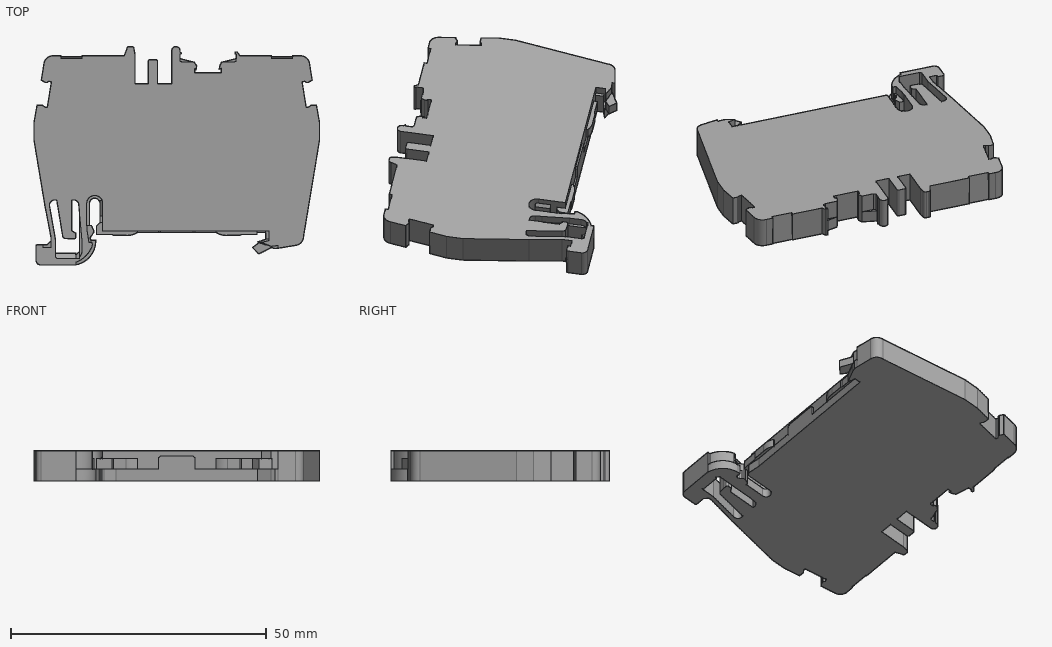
import cadquery as cq

WIDTH = 55.9
HEIGHT = 42.8
THICKNESS = 6.0
STEP_Z = 2.35
PAD_TOP_Z = 4.4
TONGUE_TOP_Z = 4.9
HALF = WIDTH / 2
TOP_Y = 41.0
RAIL_Y = 6.4
RAIL_UPPER_Y = 6.7
EPS = 0.3

WALL_TOP_Y = 27.85
WALL_BOTTOM_Y = 24.55
SIDE_NOTCH_Y = 31.3
SHOULDER_Y = 39.35
SHOULDER_X = 26.0
SHOULDER_TOP_X = 24.0
NOTCH_EDGE_X = 27.35

PRONG_SLOT_LEFT = -8.15
PRONG_SLOT_RIGHT = -1.0
PRONG_SLOT_Y = 35.5
TAB_LEFT = -5.6
TAB_RIGHT = -3.75
TAB_Y = 40.2
TAB_ROUND = 0.35

LABEL_OUTER = 22.65
LABEL_INNER = 18.5
LABEL_DEPTH = 0.55
LABEL_TAPER = 0.15

MARKER_LEFT = 0.65
MARKER_RIGHT = 11.65
MARKER_CORNER = 0.45
MARKER_SHELF_Y = 39.7
MARKER_FLOOR_Y = 37.7

FOOT_LEFT = -27.55
FOOT_RIGHT = -19.75
FOOT_TOP = 4.0
FOOT_FLOOR = 1.3
FOOT_RAMP = 1.05
FOOT_ROUND = 1.05
FOOT_TOP_ROUND = 0.35
ARM_LEFT = -24.6
ARM_BASE_Y = 5.4
WEB_HEIGHT = 1.0
LIP_LEFT = -26.1
LIP_Y = 3.45
SLOT_LEFT = -23.7
SLOT_RIGHT = -19.05
SLOT_CORNER = 0.35
SLOT_TOP = 12.75

GAP_CENTRE = -16.05
GAP_CENTRE_Y = 12.1
GAP_LOWER_RADIUS = 1.0
GAP_UPPER_RADIUS = 1.55
GAP_RIB_Y = 9.6
GAP_RIB_END_Y = 12.65
GAP_RIB_Z = 4.3

ARM_TOP = 7.8
ARM_RIGHT = -17.55
HOOK_LEFT = -20.15

RAIL_END = 17.4
RAIL_UPPER_END = 18.0
RAIL_CORNER_Y = 5.1
PAD_OUTER = 15.7
PAD_INNER = 7.7
PAD_Y = 6.0
PAD_NOSE_Y = 5.8
TONGUE_HALF = 3.5
TONGUE_CHAMFER = 0.35


def prism(points, bottom=0.0, top=THICKNESS):
    """Straight-sided polygon extruded between two heights."""
    return cq.Workplane("XY").workplane(offset=bottom).polyline(points).close().extrude(top - bottom)


def block(x0, x1, y0, y1, bottom=0.0, top=THICKNESS):
    """Rectangular block given by its limits."""
    return prism([(x0, y0), (x1, y0), (x1, y1), (x0, y1)], bottom, top)


def on_both_sides(body):
    """A body together with its mirror image about X = 0."""
    return body.union(body.mirror("YZ"))


def housing():
    """Main plate with bent side walls, rounded shoulders and a rounded lower right corner."""
    return (
        cq.Workplane("XY")
        .moveTo(-SHOULDER_TOP_X, TOP_Y)
        .lineTo(SHOULDER_TOP_X, TOP_Y)
        .threePointArc((25.4, 40.55), (SHOULDER_X, SHOULDER_Y))
        .lineTo(26.5, 36.25)
        .lineTo(25.4, SIDE_NOTCH_Y)
        .lineTo(NOTCH_EDGE_X, SIDE_NOTCH_Y)
        .lineTo(HALF, WALL_TOP_Y)
        .lineTo(HALF, WALL_BOTTOM_Y)
        .lineTo(24.85, 5.65)
        .threePointArc((24.4, 4.5), (23.2, 3.85))
        .lineTo(19.85, 3.3)
        .lineTo(19.2, 3.25)
        .lineTo(18.45, 3.45)
        .lineTo(15.8, 4.6)
        .lineTo(RAIL_END, RAIL_CORNER_Y)
        .lineTo(RAIL_END, RAIL_Y)
        .lineTo(-11.9, RAIL_Y)
        .lineTo(-14.25, 6.1)
        .lineTo(-17.0, 6.1)
        .lineTo(-19.4, 5.05)
        .lineTo(ARM_LEFT, ARM_BASE_Y)
        .lineTo(-25.85, 11.8)
        .lineTo(-HALF, WALL_BOTTOM_Y)
        .lineTo(-HALF, WALL_TOP_Y)
        .lineTo(-NOTCH_EDGE_X, SIDE_NOTCH_Y)
        .lineTo(-25.4, SIDE_NOTCH_Y)
        .lineTo(-26.5, 36.25)
        .lineTo(-SHOULDER_X, SHOULDER_Y)
        .threePointArc((-25.4, 40.55), (-SHOULDER_TOP_X, TOP_Y))
        .close()
        .extrude(THICKNESS)
    )


def side_notches():
    """Slanted notches below the shoulders, with a small relief at each inner corner."""
    notch = [
        (-HALF - EPS, 36.2), (-26.45, 36.2), (-25.7, 35.75), (-25.4, 35.75), (-25.0, 35.95), (-24.55, 35.85),
        (-25.35, 30.9), (-25.7, 30.9), (-26.45, 31.4), (-NOTCH_EDGE_X, SIDE_NOTCH_Y), (-HALF - EPS, SIDE_NOTCH_Y),
    ]
    return on_both_sides(prism(notch))


def label_recesses():
    """Shallow recesses whose floor slants, deepest at the upper face."""
    recess = (
        cq.Workplane("YZ")
        .workplane(offset=-LABEL_OUTER)
        .polyline([
            (TOP_Y + EPS, 0), (TOP_Y - LABEL_TAPER, 0),
            (TOP_Y - LABEL_DEPTH, THICKNESS), (TOP_Y + EPS, THICKNESS),
        ])
        .close()
        .extrude(LABEL_OUTER - LABEL_INNER)
    )
    return on_both_sides(recess)


def prongs():
    """Two round-nosed prongs either side of the tab, and the latch nose of the marker pocket."""
    left = (
        cq.Workplane("XY")
        .moveTo(-10.3, TOP_Y - EPS)
        .lineTo(-10.3, TOP_Y)
        .lineTo(-9.8, 42.3)
        .threePointArc((-9.6, 42.65), (-9.3, HEIGHT))
        .lineTo(-8.85, HEIGHT)
        .threePointArc((-8.5, 42.65), (-8.35, 42.3))
        .lineTo(PRONG_SLOT_LEFT, 41.3)
        .lineTo(PRONG_SLOT_LEFT, TOP_Y - EPS)
        .close()
        .extrude(THICKNESS)
    )
    right = (
        cq.Workplane("XY")
        .moveTo(PRONG_SLOT_RIGHT, TOP_Y - EPS)
        .lineTo(PRONG_SLOT_RIGHT, 42.0)
        .threePointArc((-0.15, HEIGHT), (MARKER_LEFT, 42.0))
        .lineTo(MARKER_LEFT, 41.7)
        .lineTo(0.95, 41.45)
        .lineTo(MARKER_LEFT, 41.1)
        .lineTo(MARKER_LEFT, TOP_Y - EPS)
        .close()
        .extrude(THICKNESS)
    )
    latch = prism([
        (MARKER_RIGHT, TOP_Y - EPS), (MARKER_RIGHT, 41.15), (11.4, 41.15), (11.4, 41.7), (11.85, 41.7),
        (12.35, TOP_Y), (12.35, TOP_Y - EPS),
    ])
    return left.union(right).union(latch)


def prong_slots():
    """Opening between the prongs with the round-cornered tab left standing in it."""
    opening = block(PRONG_SLOT_LEFT, PRONG_SLOT_RIGHT, PRONG_SLOT_Y, HEIGHT)
    tab = block(TAB_LEFT, TAB_RIGHT, PRONG_SLOT_Y, TAB_Y).edges("|Z and >Y").fillet(TAB_ROUND)
    return opening.cut(tab)


def marker_pocket():
    """Stepped pocket in the top edge; its shelves slope in the lower layer and are level above."""
    left, right = MARKER_LEFT, MARKER_RIGHT
    well = [
        (3.45, MARKER_SHELF_Y), (3.9, 39.0), (3.8, 38.2), (3.5, 38.55), (3.5, MARKER_FLOOR_Y),
        (8.65, MARKER_FLOOR_Y), (8.65, 38.55), (8.3, 38.3), (8.4, 39.0), (8.7, MARKER_SHELF_Y),
    ]
    lower = [(left, TOP_Y + EPS), (left, 40.45)] + well + [(right, 40.45), (right, TOP_Y + EPS)]
    upper = [
        (left, TOP_Y), (left, 39.9), (left + MARKER_CORNER, MARKER_SHELF_Y),
        (right - MARKER_CORNER, MARKER_SHELF_Y), (right, 39.9), (right, TOP_Y),
    ]
    return prism(lower).union(prism(upper, STEP_Z))


def foot():
    """Release foot, the spring arm joining it to the housing, and the hook on the arm."""
    base = block(FOOT_LEFT, FOOT_RIGHT, 0, FOOT_TOP)
    base = base.edges("|Z and <X and <Y").fillet(FOOT_ROUND)
    base = base.edges("|Z and <X and >Y").fillet(FOOT_TOP_ROUND)
    lip = block(LIP_LEFT, ARM_LEFT, LIP_Y, FOOT_TOP + EPS, WEB_HEIGHT)
    web = prism([(LIP_LEFT, LIP_Y), (LIP_LEFT, FOOT_TOP), (-25.4, FOOT_TOP), (ARM_LEFT, 4.75),
                 (ARM_LEFT, LIP_Y)], 0, WEB_HEIGHT)
    outer_arm = block(ARM_LEFT, SLOT_LEFT + EPS, FOOT_TOP - EPS, ARM_BASE_Y)
    lower_hook = (
        cq.Workplane("XY")
        .moveTo(HOOK_LEFT, 0)
        .threePointArc((-17.15, 1.45), (-15.8, 4.5))
        .lineTo(-15.75, 4.9)
        .lineTo(-16.8, 4.9)
        .lineTo(-16.95, 5.25)
        .lineTo(-16.8, 5.65)
        .lineTo(-16.45, 6.05)
        .lineTo(-17.0, ARM_TOP)
        .lineTo(SLOT_RIGHT, ARM_TOP)
        .lineTo(HOOK_LEFT, FOOT_FLOOR)
        .close()
        .extrude(STEP_Z)
    )
    bump = prism([
        (-17.9, ARM_TOP), (-16.65, ARM_TOP), (-16.2, 6.75), (-16.2, 6.45), (-16.8, 5.65),
        (-16.95, 5.25), (-16.8, 4.9), (-16.8, 4.2), (-17.9, 4.2),
    ], 0, PAD_TOP_Z)
    upper_hook = (
        cq.Workplane("XY")
        .workplane(offset=STEP_Z)
        .moveTo(FOOT_RIGHT, 0)
        .lineTo(FOOT_RIGHT, 0.55)
        .threePointArc((-17.6, 2.0), (-16.5, 3.9))
        .lineTo(-16.55, 4.4)
        .lineTo(-17.15, 4.4)
        .lineTo(ARM_RIGHT, 6.9)
        .lineTo(ARM_RIGHT, ARM_TOP)
        .lineTo(SLOT_RIGHT, ARM_TOP)
        .lineTo(SLOT_RIGHT, FOOT_FLOOR)
        .lineTo(FOOT_RIGHT, FOOT_FLOOR)
        .close()
        .extrude(THICKNESS - STEP_Z)
    )
    body = base.cut(lip).union(outer_arm)
    return body.union(web).union(lower_hook).union(bump).union(upper_hook)


def foot_slot():
    """Slot through the foot, leaving a wedge-shaped finger that hangs into it."""
    opening = (
        cq.Workplane("XY")
        .moveTo(SLOT_LEFT + SLOT_CORNER, FOOT_FLOOR)
        .lineTo(SLOT_LEFT, FOOT_FLOOR + SLOT_CORNER)
        .lineTo(SLOT_LEFT, 5.1)
        .lineTo(-24.85, 11.4)
        .threePointArc((-24.65, 12.35), (-24.0, SLOT_TOP))
        .lineTo(-20.1, SLOT_TOP)
        .threePointArc((-19.4, 12.4), (-19.2, 11.75))
        .lineTo(SLOT_RIGHT, 10.5)
        .lineTo(SLOT_RIGHT, 2.65)
        .lineTo(FOOT_RIGHT, 2.0)
        .lineTo(FOOT_RIGHT, FOOT_FLOOR)
        .close()
        .extrude(THICKNESS)
    )
    finger = (
        cq.Workplane("XY")
        .moveTo(-23.55, SLOT_TOP + EPS)
        .lineTo(-22.35, 5.9)
        .threePointArc((-22.15, 5.35), (-21.65, 5.15))
        .lineTo(-20.1, 5.15)
        .threePointArc((-19.85, 5.25), (FOOT_RIGHT, 5.5))
        .lineTo(FOOT_RIGHT, 6.25)
        .lineTo(-20.5, 6.75)
        .lineTo(-20.5, SLOT_TOP + EPS)
        .close()
        .extrude(THICKNESS)
    )
    ramp = (
        cq.Workplane("YZ")
        .workplane(offset=SLOT_LEFT)
        .polyline([(FOOT_FLOOR, 0), (FOOT_FLOOR + FOOT_RAMP, 0), (FOOT_FLOOR, FOOT_RAMP)])
        .close()
        .extrude(FOOT_RIGHT - SLOT_LEFT)
    )
    widening = (
        cq.Workplane("XY")
        .workplane(offset=PAD_TOP_Z)
        .moveTo(SLOT_RIGHT, 10.5)
        .lineTo(-18.55, 5.1)
        .lineTo(-18.5, 2.8)
        .threePointArc((-18.9, 1.8), (FOOT_RIGHT, FOOT_FLOOR))
        .lineTo(FOOT_RIGHT, 2.0)
        .lineTo(SLOT_RIGHT, 2.65)
        .close()
        .extrude(THICKNESS - PAD_TOP_Z)
    )
    return opening.cut(finger).cut(ramp).union(widening)


def gap_outline(radius, bottom_y, bottom, top):
    """Round-topped slot centred on the gap."""
    left, right = GAP_CENTRE - radius, GAP_CENTRE + radius
    return (
        cq.Workplane("XY")
        .workplane(offset=bottom)
        .moveTo(left, bottom_y)
        .lineTo(left, GAP_CENTRE_Y)
        .threePointArc((GAP_CENTRE, GAP_CENTRE_Y + radius), (right, GAP_CENTRE_Y))
        .lineTo(right, bottom_y)
        .close()
        .extrude(top - bottom)
    )


def arm_gap():
    """Slot behind the spring arm, wider in the upper layer, with a slope-topped rib on the housing flank."""
    corner = prism([
        (-17.05, 7.85), (-15.05, 7.85), (-15.05, 6.55), (-14.65, 6.1), (-14.65, 5.6), (-19.0, 5.6),
    ], 0, PAD_TOP_Z)
    lower = gap_outline(GAP_LOWER_RADIUS, ARM_TOP, 0, STEP_Z).union(corner)
    upper = gap_outline(GAP_UPPER_RADIUS, RAIL_UPPER_Y, STEP_Z, THICKNESS)
    flank_low = GAP_CENTRE + GAP_LOWER_RADIUS
    flank_high = GAP_CENTRE + GAP_UPPER_RADIUS
    rib = (
        cq.Workplane("XZ", origin=(0, GAP_RIB_END_Y, 0))
        .polyline([
            (flank_low, STEP_Z), (flank_high, STEP_Z),
            (flank_high, GAP_RIB_Z + flank_high - flank_low), (flank_low, GAP_RIB_Z),
        ])
        .close()
        .extrude(GAP_RIB_END_Y - GAP_RIB_Y)
    )
    return lower.union(upper.cut(rib))


def rail_relief():
    """Set-back of the rail face and of the catch corner in the upper layer."""
    return prism([
        (ARM_RIGHT, 3.35), (ARM_RIGHT, RAIL_UPPER_Y), (RAIL_UPPER_END, RAIL_UPPER_Y),
        (RAIL_UPPER_END, 4.8), (16.55, 4.5), (18.45, 3.7), (19.85, 3.85), (19.85, 2.8),
    ], STEP_Z)


def rail_face_features():
    """Two mirrored pads, the raised head of the left one, the tongue and the pointed catch along the rail face."""
    pad = (
        cq.Workplane("XY")
        .workplane(offset=STEP_Z)
        .moveTo(PAD_INNER, RAIL_UPPER_Y)
        .lineTo(PAD_INNER, RAIL_Y)
        .threePointArc((8.7, 5.9), (9.9, PAD_NOSE_Y))
        .lineTo(12.4, PAD_NOSE_Y)
        .lineTo(12.65, PAD_Y)
        .lineTo(PAD_OUTER, PAD_Y)
        .lineTo(PAD_OUTER, RAIL_UPPER_Y)
        .close()
        .extrude(PAD_TOP_Z - STEP_Z)
    )
    pad_head = prism([
        (-PAD_OUTER, PAD_Y), (-PAD_OUTER, 7.65), (-15.05, 8.35), (-14.2, 8.35), (-14.2, PAD_Y),
    ], STEP_Z, PAD_TOP_Z)
    tongue = block(-TONGUE_HALF, TONGUE_HALF, RAIL_Y, RAIL_UPPER_Y, STEP_Z, TONGUE_TOP_Z)
    tongue = tongue.edges("|Y and >Z").chamfer(TONGUE_CHAMFER)
    shelf = block(RAIL_END, RAIL_UPPER_END, RAIL_CORNER_Y, RAIL_UPPER_Y, STEP_Z, PAD_TOP_Z)
    catch = prism([(14.8, 3.45), (16.05, 4.4), (18.45, 3.75), (18.7, 3.5), (16.05, 2.2)], STEP_Z, PAD_TOP_Z)
    return on_both_sides(pad).union(pad_head).union(tongue).union(shelf).union(catch)


body = housing().union(prongs())
for recess in (side_notches(), label_recesses(), prong_slots(), marker_pocket(), arm_gap(), rail_relief()):
    body = body.cut(recess)
result = body.union(foot()).cut(foot_slot()).union(rail_face_features())